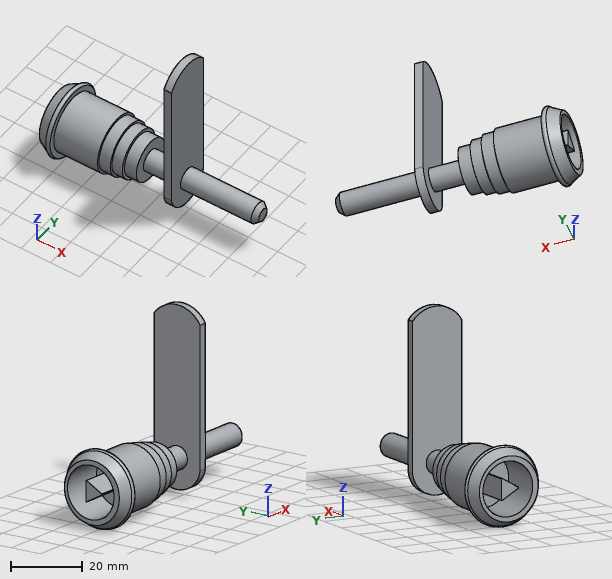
import cadquery as cq
import math


front_diameter = 19.0
flange_diameter = 23.45
flange_cone_diameter = 22.6
flange_cone_length = 3.5
flange_rim_x = 4.3
flange_length = 5.0

barrel_steps = [(19.0, 19.95), (17.5, 23.9), (16.0, 27.45), (14.0, 31.5)]

rod_diameter = 7.0
rod_tip_diameter = 4.2
rod_chamfer_length = 1.7
total_length = 70.0

recess_diameter = 16.0
recess_depth = 14.0
recess_offset_y = 0.35
driver_side = 6.65
driver_front_x = 0.3
driver_corner_cut = 0.2

cam_front_x = 41.6
cam_thickness = 2.6
cam_width = 15.8
cam_top_z = 44.95
cam_bottom_z = -9.45
cam_top_offset_y = 0.35
cam_top_radius = 9.65
cam_bottom_radius = 8.0


def x_cylinder(diameter, start_x, end_x, center_y=0.0):
    """A cylinder along X between two X positions."""
    return (
        cq.Workplane("YZ", origin=(start_x, center_y, 0))
        .circle(diameter / 2)
        .extrude(end_x - start_x)
    )


def make_turned_body():
    """Flange, stepped barrel and rod as one revolved profile."""
    profile = (
        cq.Workplane("XY")
        .lineTo(0, front_diameter / 2)
        .lineTo(flange_cone_length, flange_cone_diameter / 2)
        .threePointArc(
            (flange_rim_x, flange_diameter / 2),
            (flange_length, flange_cone_diameter / 2),
        )
    )
    step_start_x = flange_length
    for diameter, step_end_x in barrel_steps:
        profile = profile.lineTo(step_start_x, diameter / 2).lineTo(step_end_x, diameter / 2)
        step_start_x = step_end_x
    profile = (
        profile.lineTo(step_start_x, rod_diameter / 2)
        .lineTo(total_length - rod_chamfer_length, rod_diameter / 2)
        .lineTo(total_length, rod_tip_diameter / 2)
        .lineTo(total_length, 0)
        .close()
    )
    return profile.revolve(360, (0, 0, 0), (1, 0, 0))


def make_driver():
    """Triangular prism with blunt corners, one corner pointing to -Y."""
    corner_radius = driver_side / math.sqrt(3)
    cut_half_width = driver_corner_cut * math.tan(math.radians(30))
    points = []
    for corner in range(3):
        angle = math.pi + corner * 2 * math.pi / 3
        radial = corner_radius - driver_corner_cut
        for side in (-cut_half_width, cut_half_width):
            points.append((
                radial * math.cos(angle) - side * math.sin(angle),
                radial * math.sin(angle) + side * math.cos(angle),
            ))
    return (
        cq.Workplane("YZ", origin=(driver_front_x, recess_offset_y, 0))
        .polyline(points)
        .close()
        .extrude(recess_depth - driver_front_x)
    )


def make_lock():
    recess = x_cylinder(recess_diameter, 0, recess_depth, recess_offset_y)
    return make_turned_body().cut(recess).union(make_driver())


def make_cam():
    """Flat bar with an arc at each end and a hole for the rod."""
    cam_end_x = cam_front_x + cam_thickness
    half_width = cam_width / 2

    def arc_drop(radius, distance):
        """Distance from the crest of an end arc back to a point at a sideways distance."""
        return radius - math.sqrt(radius**2 - distance**2)

    bottom_drop = arc_drop(cam_bottom_radius, half_width)
    minus_y_drop = arc_drop(cam_top_radius, half_width + cam_top_offset_y)
    plus_y_drop = arc_drop(cam_top_radius, half_width - cam_top_offset_y)

    outline = (
        cq.Workplane("YZ", origin=(cam_front_x, 0, 0))
        .moveTo(-half_width, cam_bottom_z + bottom_drop)
        .lineTo(-half_width, cam_top_z - minus_y_drop)
        .threePointArc(
            (cam_top_offset_y, cam_top_z),
            (half_width, cam_top_z - plus_y_drop),
        )
        .lineTo(half_width, cam_bottom_z + bottom_drop)
        .threePointArc(
            (0, cam_bottom_z),
            (-half_width, cam_bottom_z + bottom_drop),
        )
        .close()
    )
    return outline.extrude(cam_thickness).cut(x_cylinder(rod_diameter, cam_front_x, cam_end_x))


lock = make_lock()
cam = make_cam()
result = cq.Compound.makeCompound([lock.val(), cam.val()])